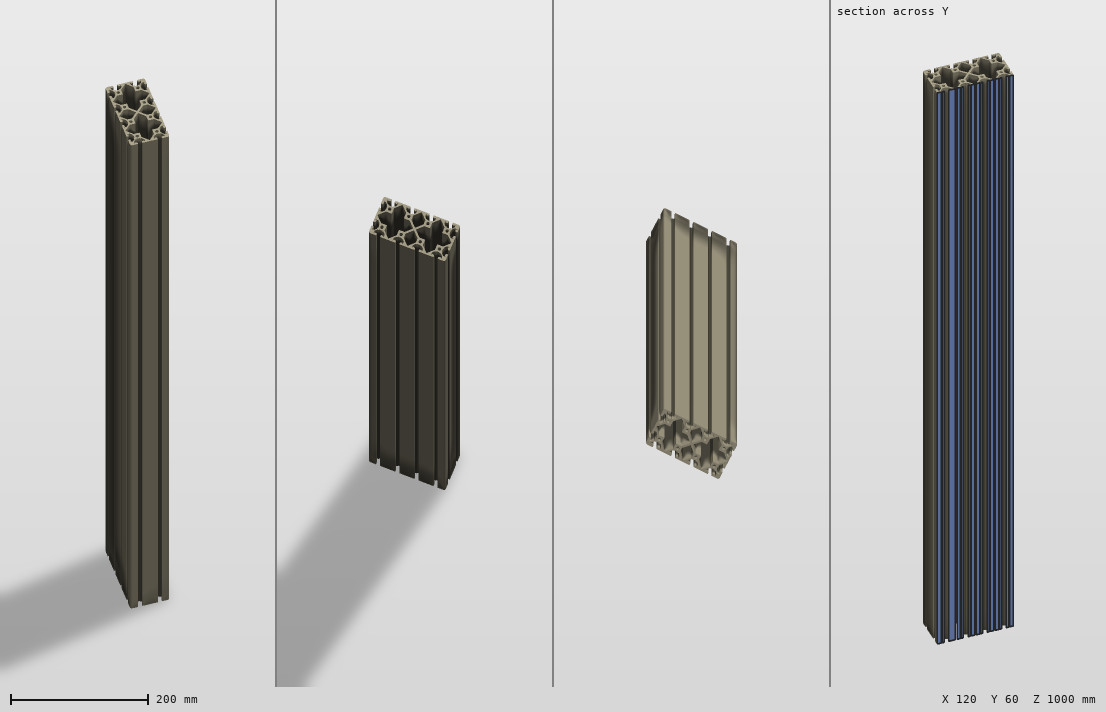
import cadquery as cq
import math

SLOT_PITCH = 30.0
SLOTS_WIDE = 4
SLOTS_DEEP = 2
WIDTH = SLOTS_WIDE * SLOT_PITCH
DEPTH = SLOTS_DEEP * SLOT_PITCH
LENGTH = 1000.0
CORNER_RADIUS = 3.0

MOUTH_HALF = 3.2
LIP_DEPTH = 3.1
BEAD_HALF = 6.5
BEAD_DEPTH = 4.0
UNDERCUT_HALF = 8.0
UNDERCUT_TOP = 2.0
FLOOR_HALF = 4.8
FLOOR_DEPTH = 9.2
GROOVE_HALF = 2.6
GROOVE_DEPTH = 1.0
FLANK_TOP = FLOOR_DEPTH - (UNDERCUT_HALF - FLOOR_HALF)

CORE_HALF = 5.5
HOLE_DIAMETER = 5.0
SKIN = 2.0
WEB = 3.0

CORE_FACE = SLOT_PITCH / 2 - CORE_HALF
TIP = SLOT_PITCH - SKIN
SHOULDER = TIP - CORE_FACE
WEB_OFFSET = WEB / math.sqrt(2)


def slot_places(count):
    """Slot centres along a side with the given number of slots."""
    return [(i - (count - 1) / 2) * SLOT_PITCH for i in range(count)]


def prism(points):
    """Full-length prism on a closed outline."""
    return cq.Workplane("XY").polyline(points).close().extrude(LENGTH)


def t_slot():
    """T-slot cut down from y = 0, with beaded lips and a shallow groove along its floor."""
    right_side = [
        (MOUTH_HALF, 0),
        (MOUTH_HALF, -LIP_DEPTH),
        (BEAD_HALF, -BEAD_DEPTH),
        (UNDERCUT_HALF, -UNDERCUT_TOP),
        (UNDERCUT_HALF, -FLANK_TOP),
        (FLOOR_HALF, -FLOOR_DEPTH),
        (GROOVE_HALF, -FLOOR_DEPTH),
        (GROOVE_HALF, -FLOOR_DEPTH - GROOVE_DEPTH),
    ]
    left_side = [(-x, y) for x, y in reversed(right_side)]
    return prism(right_side + left_side)


def cut_slots(body, angle, face_distance, count):
    """Cut a row of slots into the face that +Y turns to at this angle."""
    for place in slot_places(count):
        slot = t_slot().translate((place, face_distance, 0))
        body = body.cut(slot.rotate((0, 0, 0), (0, 0, 1), angle))
    return body


def side_cavity():
    """Star-shaped cavity of the -X half, pointed at the bar axis between two webs."""
    upper = [
        (SLOT_PITCH - WEB_OFFSET - CORE_FACE, CORE_FACE),
        (CORE_FACE, CORE_FACE),
        (CORE_FACE, SHOULDER),
        (0, TIP),
        (-CORE_FACE, SHOULDER),
        (-CORE_FACE, CORE_FACE),
        (-SHOULDER, CORE_FACE),
    ]
    lower = [(x, -y) for x, y in reversed(upper)]
    outline = [(SLOT_PITCH - WEB_OFFSET, 0)] + upper + [(-TIP, 0)] + lower
    return prism(outline).translate((-SLOT_PITCH, 0, 0))


def middle_cavity():
    """Kite-shaped cavity on the +Y side of the bar axis, above the two webs."""
    right_side = [
        (CORE_FACE, CORE_FACE + WEB_OFFSET),
        (CORE_FACE, SHOULDER),
    ]
    left_side = [(-x, y) for x, y in reversed(right_side)]
    return prism([(0, WEB_OFFSET)] + right_side + [(0, TIP)] + left_side)


def core_holes():
    """Round bores through the cores under the slots."""
    centres = [(x, y) for x in slot_places(SLOTS_WIDE) for y in slot_places(SLOTS_DEEP)]
    return cq.Workplane("XY").pushPoints(centres).circle(HOLE_DIAMETER / 2).extrude(LENGTH)


bar = cq.Workplane("XY").rect(WIDTH, DEPTH).extrude(LENGTH).edges("|Z").fillet(CORNER_RADIUS)

for angle in (0, 180):
    bar = cut_slots(bar, angle, DEPTH / 2, SLOTS_WIDE)
for angle in (90, 270):
    bar = cut_slots(bar, angle, WIDTH / 2, SLOTS_DEEP)

bar = bar.cut(side_cavity()).cut(side_cavity().mirror("YZ"))
bar = bar.cut(middle_cavity()).cut(middle_cavity().mirror("XZ"))

result = bar.cut(core_holes())